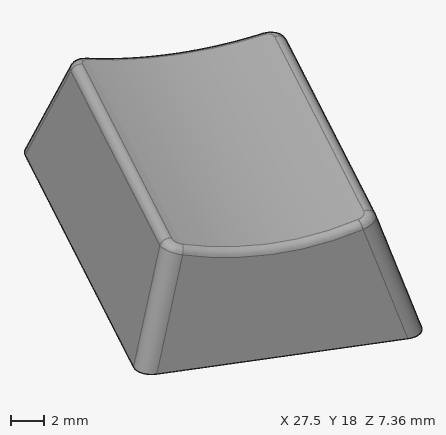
import cadquery as cq

length = 27.52
width = 18.0
wall_angle = 18.0

dish_radius = 22.02
dish_floor_height = 6.5

block_height = 7.7

corner_radius = 1.2
rim_radius = 0.6


def tapered_body():
    """Block with four walls leaning inward and rounded edges between the walls."""
    block = cq.Workplane("XY").rect(length, width).extrude(block_height, taper=wall_angle)
    return block.edges("not(|X or |Y)").fillet(corner_radius)


def dish_cutter():
    """Cylinder along X whose lowest line is the floor of the dish."""
    return (
        cq.Workplane("YZ")
        .center(0, dish_floor_height + dish_radius)
        .circle(dish_radius)
        .extrude(length / 2, both=True)
    )


dished_body = tapered_body().cut(dish_cutter())

result = dished_body.faces(">Z").edges().fillet(rim_radius)